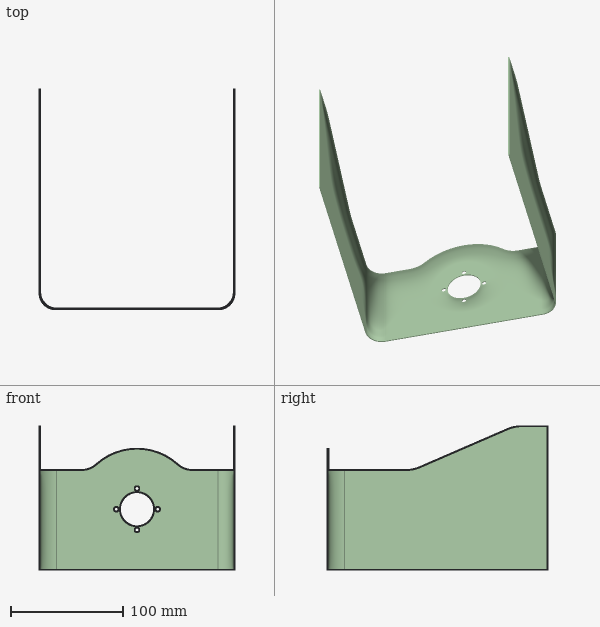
import cadquery as cq
import math

width = 174.0
depth = 195.93
height = 128.0
sheet = 1.0
bend_radius = 15.0

shoulder_height = 89.0
back_flat = 29.6
slope_run = 90.0
slope_blend_radius = 30.0

hole_height = 54.0
main_hole_diameter = 30.2
screw_hole_diameter = 4.0
screw_circle_radius = 18.4
screw_count = 4

crest_radius = 54.0
crest_blend_radius = 20.0


def bent_sheet():
    """U-shaped wall of full height with two rounded front corners."""
    inner_width = width - 2 * sheet
    outer = (
        cq.Workplane("XY")
        .rect(width, depth)
        .extrude(height)
        .translate((0, depth / 2, 0))
        .edges("|Z and <Y")
        .fillet(bend_radius)
    )
    inner = (
        cq.Workplane("XY")
        .rect(inner_width, depth)
        .extrude(height)
        .translate((0, depth / 2 + sheet, 0))
        .edges("|Z and <Y")
        .fillet(bend_radius - sheet)
    )
    return outer.cut(inner)


def side_outline():
    """Side-wall silhouette through the full width, level with the shoulder at the front."""
    slope_top = depth - back_flat
    slope_bottom = slope_top - slope_run
    slope_ends = cq.selectors.BoxSelector(
        (-width, slope_bottom - sheet, shoulder_height - sheet),
        (width, slope_top + sheet, height + sheet),
    )
    return (
        cq.Workplane("YZ")
        .polyline([
            (0, 0),
            (depth, 0),
            (depth, height),
            (slope_top, height),
            (slope_bottom, shoulder_height),
            (0, shoulder_height),
        ])
        .close()
        .extrude(width / 2, both=True)
        .edges("|X")
        .edges(slope_ends)
        .fillet(slope_blend_radius)
    )


def front_crest():
    """Plate above the shoulder: a circular crest blended into the level edge."""
    blend_height = shoulder_height + crest_blend_radius
    center_distance = crest_radius + crest_blend_radius
    blend_x = math.sqrt(center_distance**2 - (blend_height - hole_height) ** 2)
    tangent_share = crest_radius / center_distance
    tangent_x = blend_x * tangent_share
    tangent_z = hole_height + (blend_height - hole_height) * tangent_share
    crest_top = hole_height + crest_radius

    level_angle = -math.pi / 2
    crest_angle = math.atan2(tangent_z - blend_height, tangent_x - blend_x)
    half_angle = (level_angle + crest_angle) / 2
    mid_x = blend_x + crest_blend_radius * math.cos(half_angle)
    mid_z = blend_height + crest_blend_radius * math.sin(half_angle)

    return (
        cq.Workplane("XZ")
        .moveTo(-blend_x, shoulder_height)
        .threePointArc((-mid_x, mid_z), (-tangent_x, tangent_z))
        .threePointArc((0, crest_top), (tangent_x, tangent_z))
        .threePointArc((mid_x, mid_z), (blend_x, shoulder_height))
        .close()
        .extrude(-sheet)
    )


def front_holes():
    """Main hole and the surrounding screw holes, through the front wall."""
    return (
        cq.Workplane("XZ", origin=(0, 0, hole_height))
        .circle(main_hole_diameter / 2)
        .polarArray(screw_circle_radius, 0, 360, screw_count)
        .circle(screw_hole_diameter / 2)
        .extrude(-sheet)
    )


wrapper = bent_sheet().intersect(side_outline())
result = wrapper.union(front_crest()).cut(front_holes())